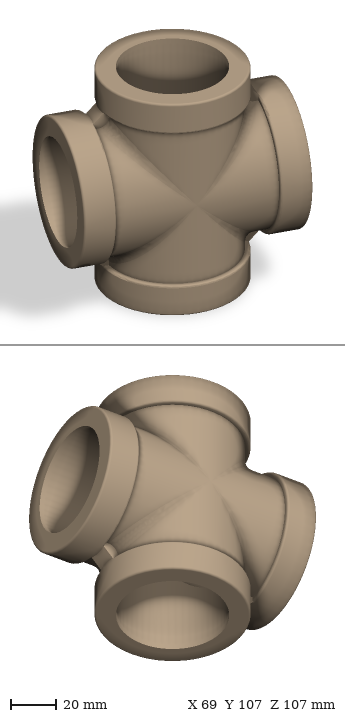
import cadquery as cq

overall_length = 107.0
collar_diameter = 69.0
pipe_diameter = 64.0
bore_diameter = 50.0
collar_length = 15.0
collar_edge_fillet = 1.0
crotch_fillet = 5.0
web_thickness = 10.0

half_length = overall_length / 2
collar_radius = collar_diameter / 2
collar_inner_face = half_length - collar_length

RUN_PLANES = ("XY", "XZ")


def centred_cylinder(plane, diameter, length):
    """Cylinder centred on the origin, its axis normal to the plane."""
    return cq.Workplane(plane).circle(diameter / 2).extrude(length / 2, both=True)


def crossed_pipes():
    """Two equal pipes crossing at the origin, blended along their joint."""
    pipe_length = overall_length - 2 * collar_edge_fillet
    vertical, horizontal = (
        centred_cylinder(plane, pipe_diameter, pipe_length)
        for plane in RUN_PLANES
    )
    cross = vertical.union(horizontal)
    joint_region = cq.selectors.BoxSelector(
        (-collar_radius, -collar_radius, -collar_radius),
        (collar_radius, collar_radius, collar_radius),
    )
    return cross.edges(joint_region).edges("not %LINE").fillet(crotch_fillet)


def collar(plane, side):
    """Collar with rounded rims at one end of a run; side is +1 or -1."""
    return (
        cq.Workplane(plane)
        .workplane(offset=side * collar_inner_face)
        .circle(collar_radius)
        .extrude(side * collar_length)
        .edges()
        .fillet(collar_edge_fillet)
    )


def corner_webs():
    """Octagonal plate whose four sloping sides brace neighbouring collars.

    The plate reaches into each collar past its rounded rim, so no gap is left there.
    """
    half_width = collar_inner_face + collar_edge_fillet
    slope_coordinate_sum = collar_inner_face + collar_radius
    return (
        cq.Workplane("YZ")
        .rect(2 * half_width, 2 * half_width)
        .extrude(web_thickness / 2, both=True)
        .edges("|X")
        .chamfer(2 * half_width - slope_coordinate_sum)
    )


def square_rim_patch(plane, side):
    """Strip of inner collar rim that stays square, as wide as the webs that meet it."""
    strip = cq.Workplane("XY").box(web_thickness, overall_length, overall_length)
    rim = (
        cq.Workplane(plane)
        .workplane(offset=side * collar_inner_face)
        .circle(collar_radius)
        .extrude(side * collar_edge_fillet)
    )
    return rim.intersect(strip)


part = crossed_pipes().union(corner_webs())
for run_plane in RUN_PLANES:
    for end_side in (1, -1):
        part = part.union(collar(run_plane, end_side))
        part = part.union(square_rim_patch(run_plane, end_side))
for run_plane in RUN_PLANES:
    part = part.cut(centred_cylinder(run_plane, bore_diameter, overall_length))

result = part